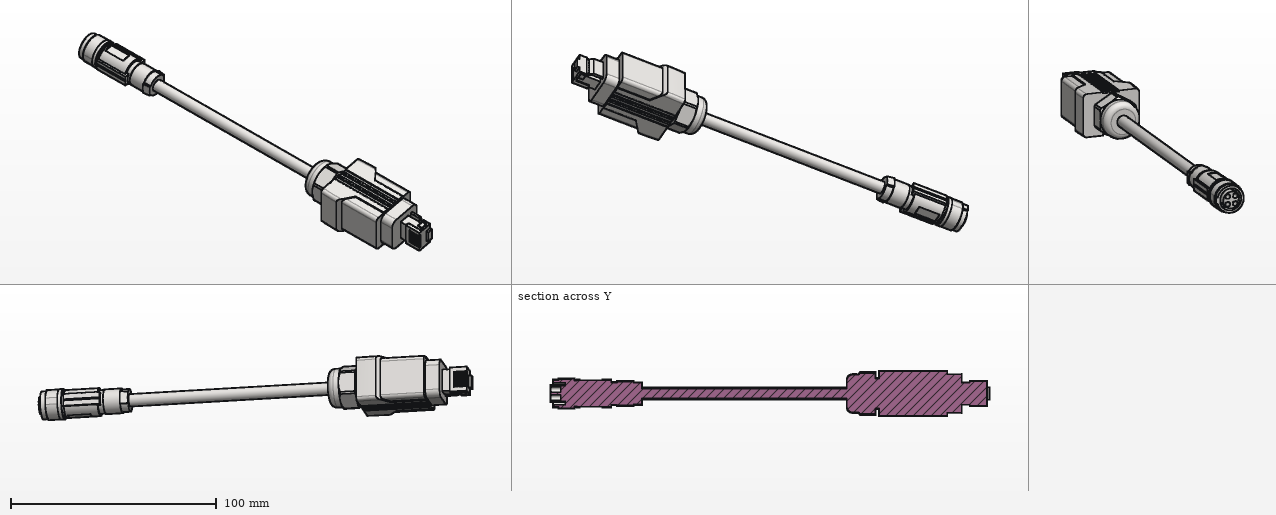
import cadquery as cq
import math


INSERT_RADIUS = 4.25
COLLAR_START = 1.2
COLLAR_FRONT_RADIUS = 6.9
COLLAR_GRIP_START = 3.9
COLLAR_GRIP_END = 9.9
COLLAR_END = 11.8
COLLAR_GRIP_RADIUS = 7.4
COLLAR_RADIUS = 7.5
COLLAR_FLAT_HALF_WIDTH = 1.65
BORE_RADIUS = 5.55
BORE_DEPTH = 6.0
PIN_HOLE_DIAMETER = 2.4
PIN_HOLE_DEPTH = 5.0
PIN_PITCH = 3.9
KEYWAY_WIDTH = 1.6
KEYWAY_DEPTH = 0.6

SLEEVE_RADIUS = 6.9
SLEEVE_END = 29.6
SLEEVE_WAIST_RADIUS = 6.6
RIB_START = 12.9
RIB_END = 30.9
RIB_WIDTH = 6.0
RIB_REACH = 7.5
RIB_GROOVE_WIDTH = 0.6
RIB_GROOVE_DEPTH = 0.4
LABEL_START = 14.2
LABEL_END = 25.3
LABEL_HALF_WIDTH = 2.4

NECK_RADIUS = 5.8
NUT_START = 32.3
NUT_END = 40.6
NUT_RADIUS = 6.1
CAP_RADIUS = 5.6
CAP_END = 44.5
CAP_PAD_WIDTH = 5.9
CAP_PAD_END_REACH = 5.5

CABLE_RADIUS = 3.1
GLAND_START = 143.8
GLAND_RADIUS = 9.5
GLAND_ROUNDING = 3.1
HEX_START = 149.7
HEX_END = 157.9
HEX_ACROSS_FLATS = 2 * GLAND_RADIUS
HEX_CORNER_RADIUS = 10.65
HEX_LEAD_IN = 0.8
GLAND_NECK_RADIUS = 7.6

HOUSING_START = 159.5
HOUSING_END = 192.8
HOUSING_HEIGHT = 22.0
HOUSING_START_HALF_WIDTH = 14.6
HOUSING_HALF_WIDTH = 15.005
WIDEST_END = 169.3
REAR_HALF_WIDTH = 13.1
REAR_START = 171.1
FRONT_ROUNDING = 1.8
REAR_STEP = 0.6
REAR_ROUNDING = 1.9
SPINE_HALF_WIDTH = 7.35
SPINE_START = 175.2
GROOVE_PITCH = 3.2
GROOVE_WIDTH = 1.9
GROOVE_DEPTH = 0.6

BASE_END = 199.8
BASE_SIDE = 19.0
BASE_ROUNDING = 3.35

PLUG_BODY_HALF_THICKNESS = 2.9
PLUG_BODY_WIDTH = 10.9
PLUG_WIDTH = 12.2
PLATE_START = 203.6
PLATE_BOTTOM = -3.6
PLATE_TOP = -1.6
HEAD_START = 208.0
HEAD_TOP = 4.7
HEAD_END = 212.1
WINDOW_END = 210.8
WINDOW_BOTTOM = 0.3
WINDOW_TOP = 3.5
WINDOW_DEPTH = 0.4
LATCH_WIDTH = PLUG_BODY_WIDTH
LATCH_TOP = 6.1
LATCH_BEND = 205.1
LATCH_SLOPE_END = 206.9
LATCH_THICKNESS = 1.3
LATCH_TIP_THICKNESS = 0.6
TAB_END = 213.3
TAB_BOTTOM = 1.6
TAB_WIDTH = 6.2
CONTACT_COUNT = 8
CONTACT_PITCH = 1.02
CONTACT_WIDTH = 0.5
CONTACT_START = 205.7
CONTACT_DEPTH = 1.0


def disc(start, end, radius):
    """Cylinder about the cable axis."""
    return cq.Workplane("YZ").workplane(offset=start).circle(radius).extrude(end - start)


def block(x_range, y_range, z_range):
    """Axis-aligned box given by its limits."""
    x0, x1 = x_range
    y0, y1 = y_range
    z0, z1 = z_range
    return cq.Workplane("XY").box(x1 - x0, y1 - y0, z1 - z0, centered=False).translate((x0, y0, z0))


def centred(width):
    """Limits of a width centred on zero."""
    return (-width / 2, width / 2)


def plate(points, width):
    """XY outline extruded to a width centred on Z = 0."""
    return cq.Workplane("XY").polyline(points).close().extrude(width / 2, both=True)


def mirrored_outline(upper):
    """Close a chain of +Y points with its mirror image in Y."""
    return upper + [(x, -y) for x, y in reversed(upper)]


def flat_depth(radius, half_width):
    """Distance from the axis of a flat with the given half width on a cylinder."""
    return math.sqrt(radius**2 - half_width**2)


def make_collar():
    collar = disc(COLLAR_START, COLLAR_GRIP_START, COLLAR_FRONT_RADIUS)
    collar = collar.union(disc(COLLAR_GRIP_START, COLLAR_GRIP_END, COLLAR_GRIP_RADIUS))
    collar = collar.union(disc(COLLAR_GRIP_END, COLLAR_END, COLLAR_RADIUS))
    flat_y = flat_depth(COLLAR_GRIP_RADIUS, COLLAR_FLAT_HALF_WIDTH)
    flat_x = (COLLAR_GRIP_START, COLLAR_GRIP_END)
    flat_z = centred(2 * COLLAR_FLAT_HALF_WIDTH)
    collar = collar.cut(block(flat_x, (flat_y, COLLAR_GRIP_RADIUS), flat_z))
    collar = collar.cut(block(flat_x, (-COLLAR_GRIP_RADIUS, -flat_y), flat_z))
    mark = block((COLLAR_START, COLLAR_GRIP_START), (0, COLLAR_RADIUS), flat_z)
    collar = collar.union(mark)
    return collar.cut(disc(COLLAR_START, COLLAR_START + BORE_DEPTH, BORE_RADIUS))


def make_insert():
    insert = disc(0, COLLAR_END, INSERT_RADIUS)
    pins = (
        cq.Workplane("YZ")
        .rarray(PIN_PITCH, PIN_PITCH, 2, 2)
        .circle(PIN_HOLE_DIAMETER / 2)
        .extrude(PIN_HOLE_DEPTH)
    )
    keyway = block(
        (0, PIN_HOLE_DEPTH), (-INSERT_RADIUS, KEYWAY_DEPTH - INSERT_RADIUS), centred(KEYWAY_WIDTH)
    )
    return insert.cut(pins).cut(keyway)


def make_sleeve():
    sleeve = disc(COLLAR_END, RIB_START, SLEEVE_WAIST_RADIUS)
    sleeve = sleeve.union(disc(RIB_START, SLEEVE_END, SLEEVE_RADIUS))
    ribs = block((RIB_START, RIB_END), centred(2 * RIB_REACH), centred(RIB_WIDTH))
    sleeve = sleeve.union(ribs)
    groove_floor = RIB_REACH - RIB_GROOVE_DEPTH
    label_z = flat_depth(SLEEVE_RADIUS, LABEL_HALF_WIDTH)
    for side in (-1, 1):
        groove_y = sorted((side * groove_floor, side * RIB_REACH))
        sleeve = sleeve.cut(block((RIB_START, RIB_END), groove_y, centred(RIB_GROOVE_WIDTH)))
        label_range = sorted((side * label_z, side * SLEEVE_RADIUS))
        label = block((LABEL_START, LABEL_END), centred(2 * LABEL_HALF_WIDTH), label_range)
        sleeve = sleeve.cut(label)
    return sleeve


def make_nut():
    nut = disc(SLEEVE_END, NUT_START, NECK_RADIUS)
    nut = nut.union(disc(NUT_START, NUT_END, NUT_RADIUS))
    nut = nut.union(disc(NUT_END, CAP_END, CAP_RADIUS))
    pad_outline = mirrored_outline([(NUT_END, NUT_RADIUS), (CAP_END, CAP_PAD_END_REACH)])
    return nut.union(plate(pad_outline, CAP_PAD_WIDTH))


def make_gland():
    dome = disc(GLAND_START, HEX_END, GLAND_RADIUS).faces("<X").edges().fillet(GLAND_ROUNDING)
    hexagon = (
        cq.Workplane("YZ")
        .workplane(offset=HEX_START)
        .polygon(6, HEX_ACROSS_FLATS, circumscribed=True)
        .extrude(HEX_END - HEX_START)
    )
    corner_limit = disc(HEX_START, HEX_END, HEX_CORNER_RADIUS)
    corner_limit = corner_limit.faces("<X").chamfer(HEX_LEAD_IN, HEX_CORNER_RADIUS - GLAND_RADIUS)
    neck = disc(HEX_END, HOUSING_START, GLAND_NECK_RADIUS)
    return dome.union(hexagon.intersect(corner_limit)).union(neck)


def make_housing():
    arc_x = (HOUSING_START + WIDEST_END) / 2
    arc_y = HOUSING_HALF_WIDTH - (HOUSING_HALF_WIDTH - HOUSING_START_HALF_WIDTH) / 4
    front = (
        cq.Workplane("XY")
        .moveTo(HOUSING_START, -HOUSING_START_HALF_WIDTH)
        .threePointArc((arc_x, -arc_y), (WIDEST_END, -HOUSING_HALF_WIDTH))
        .lineTo(REAR_START, -REAR_HALF_WIDTH)
        .lineTo(SPINE_START, -SPINE_HALF_WIDTH)
        .lineTo(SPINE_START, SPINE_HALF_WIDTH)
        .lineTo(REAR_START, REAR_HALF_WIDTH)
        .lineTo(WIDEST_END, HOUSING_HALF_WIDTH)
        .threePointArc((arc_x, arc_y), (HOUSING_START, HOUSING_START_HALF_WIDTH))
        .close()
        .extrude(HOUSING_HEIGHT / 2, both=True)
    )
    front = front.faces("|Z").edges("<Y or >Y").fillet(FRONT_ROUNDING)
    rear_x = (REAR_START, HOUSING_END)
    rear_height = HOUSING_HEIGHT - 2 * REAR_STEP
    rear = block(rear_x, centred(2 * REAR_HALF_WIDTH), centred(rear_height))
    rear = rear.edges("|X").fillet(REAR_ROUNDING)
    spine = block(rear_x, centred(2 * SPINE_HALF_WIDTH), centred(HOUSING_HEIGHT))
    housing = front.union(rear).union(spine)
    groove_floor = HOUSING_HEIGHT / 2 - GROOVE_DEPTH
    groove_x = (HOUSING_START, HOUSING_END)
    for index in (-1, 0, 1):
        centre = index * GROOVE_PITCH
        groove_y = (centre - GROOVE_WIDTH / 2, centre + GROOVE_WIDTH / 2)
        housing = housing.cut(block(groove_x, groove_y, (groove_floor, HOUSING_HEIGHT / 2)))
        housing = housing.cut(block(groove_x, groove_y, (-HOUSING_HEIGHT / 2, -groove_floor)))
    return housing


def make_plug_base():
    base = block((HOUSING_END, BASE_END), centred(BASE_SIDE), centred(BASE_SIDE))
    return base.edges("|X").fillet(BASE_ROUNDING)


def make_plug():
    body = block(
        (BASE_END, HEAD_END), centred(2 * PLUG_BODY_HALF_THICKNESS), centred(PLUG_BODY_WIDTH)
    )
    head_outline = [
        (PLATE_START, PLATE_BOTTOM),
        (HEAD_END, PLATE_BOTTOM),
        (HEAD_END, HEAD_TOP),
        (HEAD_START, HEAD_TOP),
        (HEAD_START, WINDOW_BOTTOM),
        (WINDOW_END, WINDOW_BOTTOM),
        (WINDOW_END, PLATE_TOP),
        (PLATE_START, PLATE_TOP),
    ]
    plug = body.union(plate(head_outline, PLUG_WIDTH))
    window_floor = PLUG_WIDTH / 2 - WINDOW_DEPTH
    window_x = (HEAD_START, WINDOW_END)
    window_y = (WINDOW_BOTTOM, WINDOW_TOP)
    plug = plug.cut(block(window_x, window_y, (window_floor, PLUG_WIDTH / 2)))
    plug = plug.cut(block(window_x, window_y, (-PLUG_WIDTH / 2, -window_floor)))
    plug = plug.union(block((HEAD_END, TAB_END), (TAB_BOTTOM, HEAD_TOP), centred(TAB_WIDTH)))
    first_contact = -(CONTACT_COUNT - 1) * CONTACT_PITCH / 2
    for index in range(CONTACT_COUNT):
        centre = first_contact + index * CONTACT_PITCH
        contact_z = (centre - CONTACT_WIDTH / 2, centre + CONTACT_WIDTH / 2)
        contact_y = (PLATE_BOTTOM, PLATE_BOTTOM + CONTACT_DEPTH)
        plug = plug.cut(block((CONTACT_START, HEAD_END), contact_y, contact_z))
    return plug


def make_latch():
    latch_outline = [
        (BASE_END, LATCH_TOP),
        (LATCH_BEND, LATCH_TOP),
        (LATCH_SLOPE_END, HEAD_TOP),
        (HEAD_START, HEAD_TOP),
        (HEAD_START, HEAD_TOP - LATCH_TIP_THICKNESS),
        (LATCH_SLOPE_END, HEAD_TOP - LATCH_TIP_THICKNESS),
        (LATCH_BEND, LATCH_TOP - LATCH_THICKNESS),
        (BASE_END, LATCH_TOP - LATCH_THICKNESS),
    ]
    return plate(latch_outline, LATCH_WIDTH)


sections = [
    make_collar(),
    make_insert(),
    make_sleeve(),
    make_nut(),
    disc(CAP_END, GLAND_START, CABLE_RADIUS),
    make_gland(),
    make_housing(),
    make_plug_base(),
    make_plug(),
    make_latch(),
]
result = sections[0]
for section in sections[1:]:
    result = result.union(section)